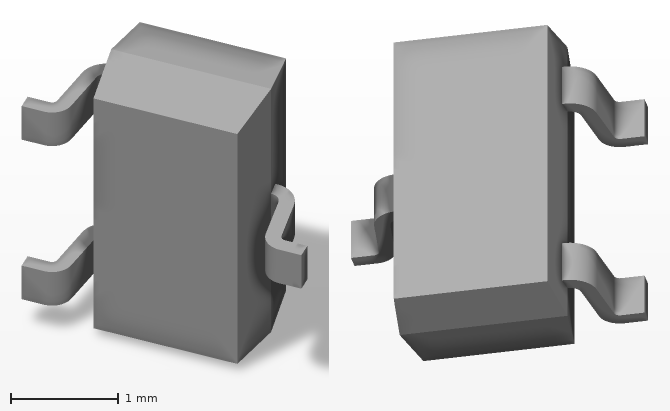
import cadquery as cq
import math

body_width = 1.6
body_height = 2.9
body_front_y = 0.1
parting_y = 0.748
body_back_y = 1.3
draft_angle = 7.0

lead_span = 2.8
lead_width = 0.4
lead_thickness = 0.15
foot_length = 0.223
foot_inner_radius = 0.055
shoulder_inner_radius = 0.11
leg_angle = 7.5
lead_pitch = 1.902


def make_half_body(face_y):
    """Frustum from the parting plane to the flat face at face_y."""
    depth = abs(face_y - parting_y)
    towards_face = 1 if face_y > parting_y else -1
    plane = cq.Plane(origin=(0, parting_y, 0), xDir=(1, 0, 0), normal=(0, towards_face, 0))
    return cq.Workplane(plane).rect(body_width, body_height).extrude(depth, taper=draft_angle)


def make_body():
    return make_half_body(body_front_y).union(make_half_body(body_back_y), clean=False)


def arc_point(center, radius, degrees):
    angle = math.radians(degrees)
    return (center[0] + radius * math.cos(angle), center[1] + radius * math.sin(angle))


def make_left_lead(center_z):
    """Lead on the -X side, ending flush against the sloping wall of the body."""
    foot_outer_radius = foot_inner_radius + lead_thickness
    shoulder_outer_radius = shoulder_inner_radius + lead_thickness
    shoulder_top_y = parting_y + lead_thickness
    tip_x = -lead_span / 2

    foot_center = (tip_x + foot_length, foot_outer_radius)
    shoulder_center_y = shoulder_top_y - shoulder_outer_radius
    rise = shoulder_center_y - foot_center[1]
    leg = math.radians(leg_angle)
    run = (foot_outer_radius + shoulder_inner_radius + rise * math.sin(leg)) / math.cos(leg)
    shoulder_center = (foot_center[0] + run, shoulder_center_y)

    foot_end = -leg_angle
    foot_middle = (foot_end - 90) / 2
    shoulder_start = 180 - leg_angle
    shoulder_middle = (shoulder_start + 90) / 2

    wall_bottom_x = -body_width / 2
    wall_top_x = wall_bottom_x + lead_thickness * math.tan(math.radians(draft_angle))

    return (
        cq.Workplane("XY", origin=(0, 0, center_z - lead_width / 2))
        .moveTo(tip_x, 0)
        .lineTo(foot_center[0], 0)
        .threePointArc(
            arc_point(foot_center, foot_outer_radius, foot_middle),
            arc_point(foot_center, foot_outer_radius, foot_end),
        )
        .lineTo(*arc_point(shoulder_center, shoulder_inner_radius, shoulder_start))
        .threePointArc(
            arc_point(shoulder_center, shoulder_inner_radius, shoulder_middle),
            arc_point(shoulder_center, shoulder_inner_radius, 90),
        )
        .lineTo(wall_bottom_x, parting_y)
        .lineTo(wall_top_x, shoulder_top_y)
        .lineTo(shoulder_center[0], shoulder_top_y)
        .threePointArc(
            arc_point(shoulder_center, shoulder_outer_radius, shoulder_middle),
            arc_point(shoulder_center, shoulder_outer_radius, shoulder_start),
        )
        .lineTo(*arc_point(foot_center, foot_inner_radius, foot_end))
        .threePointArc(
            arc_point(foot_center, foot_inner_radius, foot_middle),
            arc_point(foot_center, foot_inner_radius, -90),
        )
        .lineTo(tip_x, lead_thickness)
        .close()
        .extrude(lead_width)
    )


body = make_body()

leads = []
for lead_z in (-lead_pitch / 2, lead_pitch / 2):
    leads.append(make_left_lead(lead_z).val())
leads.append(make_left_lead(0).mirror("YZ").val())

result = cq.Compound.makeCompound([*body.solids().vals(), *leads])